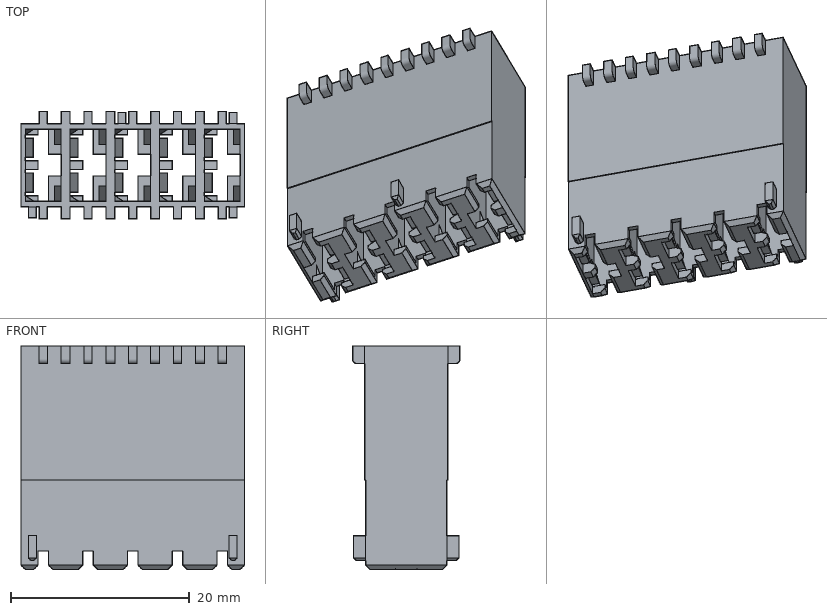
import cadquery as cq

LENGTH = 25.0
HEIGHT = 25.0
UPPER_DEPTH = 9.3
LOWER_DEPTH = 9.1
STEP_Z = 10.0

CELL_COUNT = 5
CELL_PITCH = LENGTH / CELL_COUNT
END_WALL = 0.5
CELL_WIDTH = CELL_PITCH - 2 * END_WALL
UPPER_CELL_DEPTH = 8.1
LOWER_CELL_DEPTH = 8.0
FLOOR = 1.0

SLOT_WIDTH = 1.15
SLOT_HEIGHT = 2.05
FOOT_BEVEL = 0.5

LATCH_OPENING_START = 0.5
LATCH_OPENING_END = 3.4
CENTRE_OPENING = 2.4

WEDGE_STEEPNESS = 4.0
LATCH_WIDTH = 0.9
LATCH_LENGTH = 2.18
STOP_WIDTH = 0.75
STOP_LENGTH = 1.68

RAMP_RISE = 0.7
GUSSET_WIDTH = 0.9
GUSSET_DEPTH = 0.6
GUSSET_HEIGHT = 2.5

CENTRE_RIB_WIDTH = 0.9
DIVIDER_RIB_WIDTH = 2 * END_WALL
RIB_HEIGHT = 2.0
RIB_SPAN = 12.0
RIB_RADIUS = 0.5

LUG_WIDTH = 0.9
LUG_SPAN = 11.8
LUG_BOTTOM_Z = 1.0
LUG_TOP_Z = 3.8
LUG_BEVEL = 0.3
LUG_END_OFFSET = 1.28

OVERLAP = 0.12

SIDES = (-1, 1)


def block(x_start, x_end, y_start, y_end, z_start, z_end):
    size = (x_end - x_start, y_end - y_start, z_end - z_start)
    return cq.Workplane().box(*size, centered=False).translate((x_start, y_start, z_start))


def centred_block(x_start, x_end, depth, z_start, z_end):
    return block(x_start, x_end, -depth / 2, depth / 2, z_start, z_end)


def prism_along_y(points, y_centre, length):
    """Extrude an outline given as (x, z) points, centred on y_centre."""
    return (
        cq.Workplane("XZ", origin=(0, y_centre, 0))
        .polyline(points)
        .close()
        .extrude(length / 2, both=True)
    )


def shell():
    lower = centred_block(0, LENGTH, LOWER_DEPTH, 0, STEP_Z)
    upper = centred_block(0, LENGTH, UPPER_DEPTH, STEP_Z, HEIGHT)
    return lower.union(upper)


def foot_edges():
    """X ranges of the feet left between the slots."""
    slot_centres = [(cell + 0.5) * CELL_PITCH for cell in range(CELL_COUNT)]
    starts = [0.0] + [x + SLOT_WIDTH / 2 for x in slot_centres]
    ends = [x - SLOT_WIDTH / 2 for x in slot_centres] + [LENGTH]
    return zip(starts, ends)


def bevelled_feet():
    """The bottom zone of the housing, cut into feet that narrow at their lower edges."""
    feet = cq.Workplane()
    for start, end in foot_edges():
        foot = centred_block(start, end, LOWER_DEPTH, 0, SLOT_HEIGHT)
        feet = feet.add(foot.faces("<Z").chamfer(FOOT_BEVEL))
    return feet.combine()


def wedge(x_wall, direction, width, y_centre, length):
    """A wedge on a side wall, thin at the top and flat at floor level."""
    x_back = x_wall - direction * OVERLAP
    x_tip = x_wall + direction * width
    z_top = FLOOR + width * WEDGE_STEEPNESS
    outline = [(x_back, FLOOR), (x_tip, FLOOR), (x_wall, z_top), (x_back, z_top)]
    return prism_along_y(outline, y_centre, length)


def gusset(x_wall, side):
    """A three-sided gusset in the corner between a side wall and a long wall."""
    y_wall = side * LOWER_CELL_DEPTH / 2
    corner = cq.Vector(x_wall, y_wall, FLOOR)
    along_x = corner + cq.Vector(GUSSET_WIDTH, 0, 0)
    along_y = corner - cq.Vector(0, side * GUSSET_DEPTH, 0)
    apex = corner + cq.Vector(0, 0, GUSSET_HEIGHT)
    triangles = [
        (corner, along_x, along_y),
        (corner, along_x, apex),
        (corner, along_y, apex),
        (along_x, along_y, apex),
    ]
    faces = [cq.Face.makeFromWires(cq.Wire.makePolygon(list(t), close=True)) for t in triangles]
    return cq.Workplane(cq.Solid.makeSolid(cq.Shell.makeShell(faces)))


def cell_cuts(x_start):
    """Cavity of one cell with the openings through its floor."""
    x_end = x_start + CELL_WIDTH
    x_middle = (x_start + x_end) / 2
    lower_cavity = centred_block(x_start, x_end, LOWER_CELL_DEPTH, FLOOR, STEP_Z)
    upper_cavity = centred_block(x_start, x_end, UPPER_CELL_DEPTH, STEP_Z, HEIGHT)
    centre_opening = centred_block(x_middle, x_end, CENTRE_OPENING, 0, FLOOR)
    cuts = lower_cavity.union(upper_cavity).union(centre_opening)
    for side in SIDES:
        y_start, y_end = sorted((side * LATCH_OPENING_START, side * LATCH_OPENING_END))
        cuts = cuts.union(block(x_start, x_middle, y_start, y_end, 0, FLOOR))
    return cuts


def cell_details(x_start):
    """Ramp, latch wedges, stop wedges and gussets inside one cell."""
    x_end = x_start + CELL_WIDTH
    x_slot = (x_start + x_end - SLOT_WIDTH) / 2
    ramp_outline = [(x_start, FLOOR), (x_slot, FLOOR), (x_start, FLOOR + RAMP_RISE)]
    details = prism_along_y(ramp_outline, 0, 2 * LATCH_OPENING_START)
    latch_y = (LATCH_OPENING_START + LATCH_OPENING_END) / 2
    stop_y = (LOWER_CELL_DEPTH - STOP_LENGTH) / 2
    for side in SIDES:
        details = details.union(wedge(x_start, 1, LATCH_WIDTH, side * latch_y, LATCH_LENGTH))
        details = details.union(wedge(x_end, -1, STOP_WIDTH, side * stop_y, STOP_LENGTH))
        details = details.union(gusset(x_start, side))
    return details


def rim_ribs():
    """Ribs across both long walls, over every divider and every cell centre."""
    ribs = cq.Workplane()
    rib_pitch = CELL_PITCH / 2
    root = UPPER_DEPTH / 2 - OVERLAP
    for index in range(1, 2 * CELL_COUNT):
        width = CENTRE_RIB_WIDTH if index % 2 else DIVIDER_RIB_WIDTH
        x_start = index * rib_pitch - width / 2
        for side in SIDES:
            y_start, y_end = sorted((side * RIB_SPAN / 2, side * root))
            rib = block(x_start, x_start + width, y_start, y_end, HEIGHT - RIB_HEIGHT, HEIGHT)
            outer_face = ">Y" if side > 0 else "<Y"
            ribs = ribs.add(rib.faces(outer_face).edges("<Z").fillet(RIB_RADIUS))
    return ribs.combine()


def lug(x_centre, side):
    """A lug on the lower part of a long wall, bevelled at its lower end."""
    x_start = x_centre - LUG_WIDTH / 2
    y_root = side * (LOWER_DEPTH / 2 - OVERLAP)
    y_start, y_end = sorted((y_root, side * LUG_SPAN / 2))
    body = block(x_start, x_start + LUG_WIDTH, y_start, y_end, LUG_BOTTOM_Z, LUG_TOP_Z)
    outer_edge = ">Y" if side > 0 else "<Y"
    lower_edges = body.faces("<Z").edges(f"|Y or {outer_edge}")
    return lower_edges.chamfer(LUG_BEVEL)


bottom_zone = centred_block(0, LENGTH, LOWER_DEPTH, 0, SLOT_HEIGHT)
housing = shell().cut(bottom_zone).union(bevelled_feet())
for cell in range(CELL_COUNT):
    x_cell = cell * CELL_PITCH + END_WALL
    housing = housing.cut(cell_cuts(x_cell)).union(cell_details(x_cell))

housing = housing.union(rim_ribs())
for lug_x in (LUG_END_OFFSET, LENGTH - LUG_END_OFFSET):
    housing = housing.union(lug(lug_x, -1))
for lug_x in (2 * CELL_PITCH + LUG_END_OFFSET, LENGTH - LUG_END_OFFSET):
    housing = housing.union(lug(lug_x, 1))

result = housing